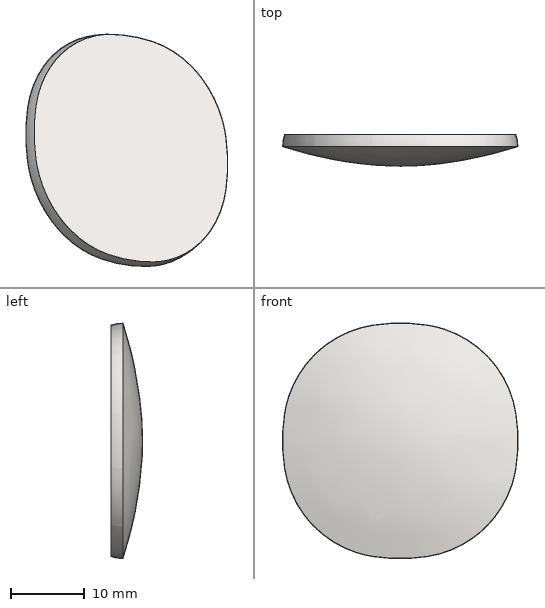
import cadquery as cq
import math

width = 31.98
total_depth = 4.32
wall_depth = 1.65
dome_height = total_depth - wall_depth

side_radius = 24.0
side_half_chord = 3.7

back_inset = 0.29
middle_inset = 0.09

rim_y = 0.0
back_y = rim_y + wall_depth

side_half_angle = math.asin(side_half_chord / side_radius)
side_centre = side_radius - width / 2
corner_centre = side_centre * math.tan(side_half_angle) / (1 - math.tan(side_half_angle))
corner_radius = side_radius - (corner_centre + side_centre) / math.cos(side_half_angle)


def turn(point, quarter):
    """Rotate an outline point by a number of quarter turns."""
    x, z = point
    for _ in range(quarter):
        x, z = -z, x
    return x, z


def polar(centre, radius, angle):
    """Point on a circle of the outline plane."""
    return centre[0] + radius * math.cos(angle), centre[1] + radius * math.sin(angle)


def outline(inset, y):
    """Closed cushion outline in the plane at y, shrunk evenly by the inset.

    Each corner is split at the diagonal, giving twelve arcs in all.
    """
    side = ((-side_centre, 0), side_radius - inset)
    corner = ((corner_centre, corner_centre), corner_radius - inset)
    diagonal = math.pi / 4
    spans = [
        (side, -side_half_angle, side_half_angle),
        (corner, side_half_angle, diagonal),
        (corner, diagonal, math.pi / 2 - side_half_angle),
    ]
    edges = []
    for quarter in range(4):
        for (centre, radius), start, end in spans:
            angles = (start, (start + end) / 2, end)
            flat_points = [turn(polar(centre, radius, angle), quarter) for angle in angles]
            points = [cq.Vector(x, y, z) for x, z in flat_points]
            edges.append(cq.Edge.makeThreePointArc(*points))
    return cq.Wire.assembleEdges(edges)


def wall_solid():
    """Plate with the bulging wall and flat front and back."""
    sections = [
        outline(0, rim_y),
        outline(middle_inset, (rim_y + back_y) / 2),
        outline(back_inset, back_y),
    ]
    return cq.Solid.makeLoft(sections)


def dome_face(rim_edges):
    """Smooth crowned face filling the flat rim and passing through the dome's peak."""
    peak = cq.Vector(0, rim_y - dome_height, 0)
    return cq.Face.makeNSidedSurface(rim_edges, [peak])


def lens():
    """Swap the plate's flat front for the crowned face."""
    plate = cq.Workplane(obj=wall_solid())
    front = plate.faces("<Y").val()
    kept_faces = [face for face in plate.faces().vals() if not face.isSame(front)]
    shell = cq.Shell.makeShell(kept_faces + [dome_face(front.Edges())])
    return cq.Workplane(obj=cq.Solid.makeSolid(shell))


result = lens()